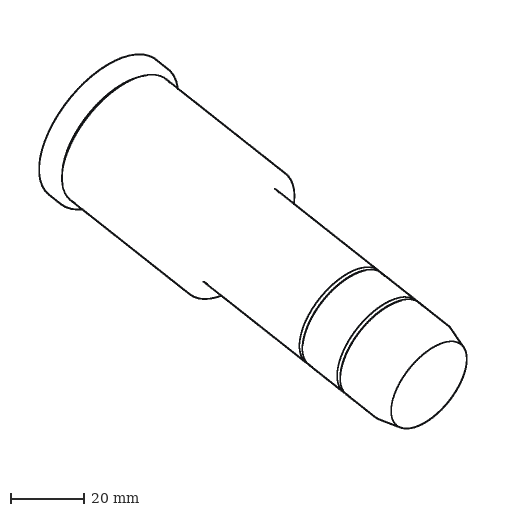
import cadquery as cq
import math

total_length = 131.0
head_diameter = 47.0
head_length = 6.0
head_front_round = 0.5
head_back_round = 0.8

body_diameter = 42.0
body_end = 55.0
body_end_round = 0.5
undercut_width = 0.8
undercut_depth = 0.8

shank_diameter = 32.0
root_fillet = 0.4
tip_taper_length = 7.0
tip_taper_angle = 15.0
groove_centers = (97.0, 112.0)
groove_width = 1.2

head_radius = head_diameter / 2
body_radius = body_diameter / 2
undercut_radius = body_radius - undercut_depth
shank_radius = shank_diameter / 2
tip_radius = shank_radius - tip_taper_length * math.tan(math.radians(tip_taper_angle))


def cylinder(start, end, radius):
    """Make a cylinder along X between two positions."""
    return cq.Workplane("YZ", origin=(start, 0, 0)).circle(radius).extrude(end - start)


def make_head():
    head = cylinder(0, head_length, head_radius)
    head = head.edges("<X").fillet(head_front_round)
    return head.edges(">X").fillet(head_back_round)


def make_body():
    """Body with a rounded end and an undercut behind the head."""
    undercut_end = head_length + undercut_width
    neck = cylinder(head_length, undercut_end, undercut_radius)
    main = cylinder(undercut_end, body_end, body_radius).edges(">X").fillet(body_end_round)
    return neck.union(main)


def make_shank():
    """Shank with a filleted root and a conical tip."""
    profile = (
        cq.Workplane("XY")
        .moveTo(body_end, 0)
        .lineTo(body_end, shank_radius + root_fillet)
        .radiusArc((body_end + root_fillet, shank_radius), -root_fillet)
        .lineTo(total_length - tip_taper_length, shank_radius)
        .lineTo(total_length, tip_radius)
        .lineTo(total_length, 0)
    )
    return profile.close().revolve(360, (0, 0, 0), (1, 0, 0))


def make_groove(center):
    """Ring with a round section that cuts a half-round groove."""
    section = cq.Workplane("XY").center(center, shank_radius).circle(groove_width / 2)
    return section.revolve(360, (0, -shank_radius, 0), (1, -shank_radius, 0))


result = make_head().union(make_body()).union(make_shank())
for groove_center in groove_centers:
    result = result.cut(make_groove(groove_center))